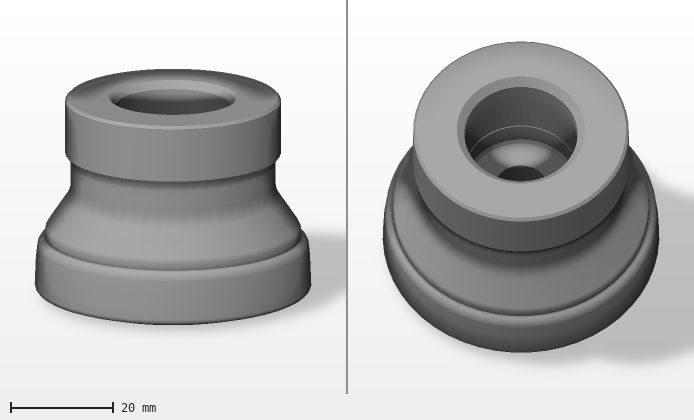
import cadquery as cq
import math

total_height = 39.85
pad_height = 11.9
rim_top = 13.1
neck_bottom = 22.45
collar_bottom = 28.75

collar_radius = 42.0 / 2
neck_radius = 40.0 / 2
rim_radius = 24.95
collar_chamfer = 0.55
undercut_fillet = 2.1
undercut_angle = math.radians(40)
flare_angle = math.radians(34)
flare_fillet = 4.8

bore_radius = 22.05 / 2
bore_mouth_radius = 12.5
mouth_depth = 1.45
bore_depth = 20.5
bore_floor_radius = 10.45
groove_radius = 22.5 / 2
groove_depth = 15.0
groove_width = 0.45
hole_radius = 10.5 / 2

pad_widest_radius = 26.95
pad_shoulder_radius = 26.45
pad_shoulder_height = 10.15
pad_corner_radius = 26.2
pad_corner_height = 1.3
pad_top_radius = 25.05
pad_foot_radius = 22.05


def revolve(profile):
    """Close a radius-height profile and turn it about the Z axis."""
    return profile.close().revolve(360, (0, 0, 0), (0, 1, 0))


def arc_point(center, radius, angle):
    """Point on a circle in the radius-height plane."""
    return (center[0] + radius * math.cos(angle), center[1] + radius * math.sin(angle))


def make_hub():
    undercut_end_radius = neck_radius + undercut_fillet * (1 - math.cos(undercut_angle))
    underside_height = (collar_radius - undercut_end_radius) / math.tan(undercut_angle)
    undercut_center = (
        neck_radius + undercut_fillet,
        collar_bottom - underside_height - undercut_fillet * math.sin(undercut_angle),
    )
    undercut_end = arc_point(undercut_center, undercut_fillet, math.pi - undercut_angle)
    undercut_start = arc_point(undercut_center, undercut_fillet, math.pi)
    undercut_middle = arc_point(undercut_center, undercut_fillet, math.pi - undercut_angle / 2)

    flare_center = (neck_radius + flare_fillet, neck_bottom)
    flare_middle = arc_point(flare_center, flare_fillet, math.pi + flare_angle / 2)
    flare_top = arc_point(flare_center, flare_fillet, math.pi + flare_angle)

    flare_slope = math.tan(flare_angle)
    flare_radius_at_rim = flare_top[0] + (flare_top[1] - rim_top) * flare_slope
    rim_fillet = (flare_radius_at_rim - rim_radius) / (1 / math.cos(flare_angle) - 1)
    rim_center = (rim_radius - rim_fillet, rim_top)
    rim_middle = arc_point(rim_center, rim_fillet, flare_angle / 2)
    flare_bottom = arc_point(rim_center, rim_fillet, flare_angle)

    mouth_bottom = total_height - mouth_depth
    groove_top = total_height - groove_depth
    groove_bottom = groove_top - groove_width
    bore_floor = total_height - bore_depth
    floor_chamfer = bore_radius - bore_floor_radius
    profile = (
        cq.Workplane("XZ")
        .moveTo(hole_radius, pad_height)
        .lineTo(rim_radius, pad_height)
        .lineTo(rim_radius, rim_top)
        .threePointArc(rim_middle, flare_bottom)
        .lineTo(*flare_top)
        .threePointArc(flare_middle, (neck_radius, neck_bottom))
        .lineTo(*undercut_start)
        .threePointArc(undercut_middle, undercut_end)
        .lineTo(collar_radius, collar_bottom)
        .lineTo(collar_radius, total_height - collar_chamfer)
        .lineTo(collar_radius - collar_chamfer, total_height)
        .lineTo(bore_mouth_radius, total_height)
        .lineTo(bore_radius, mouth_bottom)
        .lineTo(bore_radius, groove_top)
        .lineTo(groove_radius, groove_top)
        .lineTo(groove_radius, groove_bottom)
        .lineTo(bore_radius, groove_bottom)
        .lineTo(bore_radius, bore_floor + floor_chamfer)
        .lineTo(bore_floor_radius, bore_floor)
        .lineTo(hole_radius, bore_floor)
    )
    return revolve(profile)


def make_pad():
    foot_slope = math.atan2(pad_corner_height, pad_corner_radius - pad_foot_radius)
    corner_fillet = (pad_widest_radius - pad_corner_radius) / (1 - math.sin(foot_slope))
    widest_height = pad_corner_height + corner_fillet * math.cos(foot_slope)

    profile = (
        cq.Workplane("XZ")
        .moveTo(hole_radius, 0)
        .lineTo(pad_foot_radius, 0)
        .lineTo(pad_corner_radius, pad_corner_height)
        .tangentArcPoint((pad_widest_radius, widest_height), relative=False)
        .tangentArcPoint((pad_shoulder_radius, pad_shoulder_height), relative=False)
        .tangentArcPoint((pad_top_radius, pad_height), relative=False)
        .lineTo(hole_radius, pad_height)
    )
    return revolve(profile)


hub = make_hub()
pad = make_pad()
result = cq.Compound.makeCompound([hub.val(), pad.val()])